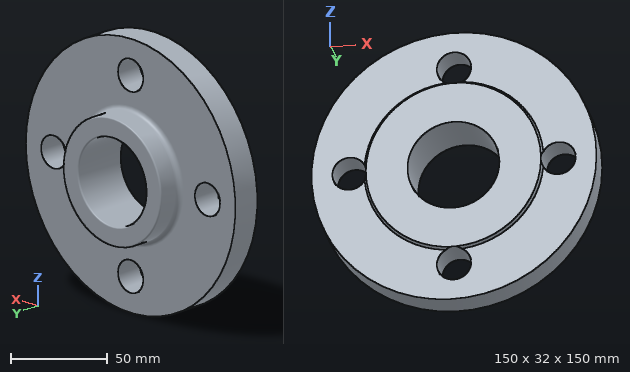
import cadquery as cq

flange_diameter = 150.0
total_length = 32.0
raised_face_height = 1.5
plate_thickness = 16.5
bore_diameter = 48.3

face_front_diameter = 92.1
face_base_diameter = 94.5

hub_diameter = 70.0
hub_fillet_radius = 3.0
hub_edge_round = 0.9

bolt_count = 4
bolt_diameter = 18.0
bolt_circle_diameter = 110.0

plate_front = raised_face_height
plate_back = plate_front + plate_thickness


def make_body():
    """Revolve the solid half section (radius, axial position) about Y."""
    hub_radius = hub_diameter / 2
    fillet_centre = (hub_radius + hub_fillet_radius, plate_back + hub_fillet_radius)
    diagonal = hub_fillet_radius / 2**0.5
    fillet_middle = (fillet_centre[0] - diagonal, fillet_centre[1] - diagonal)
    return (
        cq.Workplane("XY")
        .moveTo(0, 0)
        .lineTo(face_front_diameter / 2, 0)
        .lineTo(face_base_diameter / 2, plate_front)
        .lineTo(flange_diameter / 2, plate_front)
        .lineTo(flange_diameter / 2, plate_back)
        .lineTo(fillet_centre[0], plate_back)
        .threePointArc(fillet_middle, (hub_radius, fillet_centre[1]))
        .lineTo(hub_radius, total_length)
        .lineTo(0, total_length)
        .close()
        .revolve(360, (0, 0, 0), (0, 1, 0))
    )


def make_holes():
    """Bore and bolt holes, passing through the whole length along +Y."""
    bore = cq.Workplane("XZ").circle(bore_diameter / 2).extrude(-total_length)
    bolts = (
        cq.Workplane("XZ")
        .polarArray(bolt_circle_diameter / 2, 0, 360, bolt_count)
        .circle(bolt_diameter / 2)
        .extrude(-total_length)
    )
    return bore.union(bolts)


result = make_body().cut(make_holes()).faces(">Y").edges().fillet(hub_edge_round)